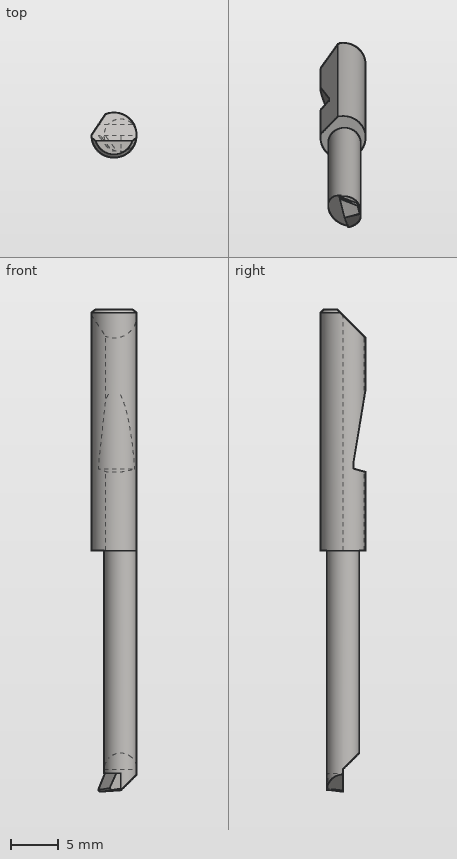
import cadquery as cq

length = 50.8
shank_radius = 2.4
shank_bottom = 25.4
neck_radius = 1.75
neck_x = shank_radius - neck_radius
top_chamfer = 0.35

bevel_start_y = -0.6
flat_distance = 2.0
flat_angle = 146.3
notch_top = 42.35
notch_depth = 1.25
notch_deepest = 34.7
notch_corner = 34.05
notch_bottom = 33.65

head_top = 2.0
head_right_x = 0.7
head_back_y = -1.6
head_base = 0.15
flank_top_x = -0.95
flank_bottom_x = -1.7
flank_bottom = 0.2
tip_x = -1.45
side_relief = 1.2
end_relief = 0.2
rake_bevel_bottom = 2.4
corner_bevel_top = 1.85

big = 4 * shank_radius


def prism_along_x(points):
    """Prism across the whole part from a (Y, Z) outline."""
    return cq.Workplane("YZ").polyline(points).close().extrude(big, both=True)


def prism_along_y(points):
    """Prism across the whole part from an (X, Z) outline."""
    return cq.Workplane("XZ").polyline(points).close().extrude(big, both=True)


def make_shank():
    shank = (
        cq.Workplane("XY", origin=(0, 0, shank_bottom))
        .circle(shank_radius)
        .extrude(length - shank_bottom)
        .faces(">Z")
        .chamfer(top_chamfer)
    )
    flat = (
        cq.Workplane("XY")
        .box(big, big, length, centered=(False, True, False))
        .translate((flat_distance, 0, shank_bottom))
        .rotate((0, 0, 0), (0, 0, 1), flat_angle)
    )
    bevel = prism_along_x([
        (bevel_start_y, length),
        (bevel_start_y + big, length - big),
        (bevel_start_y + big, length),
    ])
    floor_y = shank_radius - notch_depth
    notch = prism_along_x([
        (shank_radius, notch_top),
        (floor_y, notch_deepest),
        (floor_y, notch_corner),
        (shank_radius, notch_bottom),
        (big, notch_bottom),
        (big, notch_top),
    ])
    return shank.cut(flat).cut(bevel).cut(notch)


def make_neck():
    neck = (
        cq.Workplane("XY", origin=(neck_x, 0, head_base))
        .circle(neck_radius)
        .extrude(shank_bottom - head_base)
    )
    rake = prism_along_x([
        (0, 0),
        (0, rake_bevel_bottom),
        (big, rake_bevel_bottom + big),
        (big, 0),
    ])
    corner = prism_along_y([
        (head_right_x, head_base),
        (shank_radius, corner_bevel_top),
        (big, corner_bevel_top),
        (big, head_base),
    ])
    head_space = prism_along_y([
        (-big, head_base),
        (-big, head_top),
        (head_right_x, head_top),
        (head_right_x, head_base),
    ])
    return neck.cut(rake).cut(corner).cut(head_space)


def head_outline(flank_shift, end_shift):
    """Head profile in X and Z, with its flank moved toward +X and its lower end raised."""
    return [
        (head_right_x, head_base + end_shift),
        (head_right_x, head_top),
        (flank_top_x + flank_shift, head_top),
        (flank_bottom_x + flank_shift, flank_bottom + end_shift),
        (tip_x + flank_shift, end_shift),
    ]


def make_head():
    return (
        cq.Workplane("XZ")
        .polyline(head_outline(0, 0))
        .close()
        .workplane(offset=-head_back_y)
        .polyline(head_outline(side_relief, end_relief))
        .close()
        .loft(ruled=True, combine=True)
    )


result = make_shank().union(make_neck()).union(make_head())